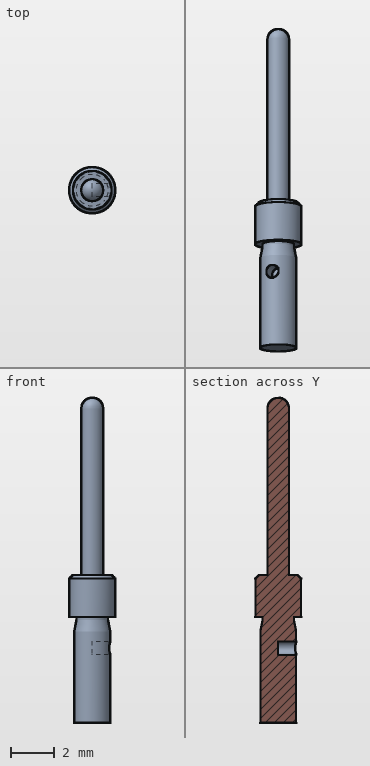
import cadquery as cq
import math

total_length = 14.8
pin_radius = 0.5
collar_radius = 1.058
neck_radius = 0.73
barrel_radius = 0.83

barrel_top = 4.15
neck_bottom = 4.68
collar_bottom = 4.81
collar_top = 6.73
collar_chamfer = 0.18

hole_diameter = 0.59
hole_height = 3.4


def turned_body():
    """Revolve the half profile: barrel, tapered neck, collar and round-nosed pin."""
    nose_start = total_length - pin_radius
    nose_mid_offset = pin_radius * math.sqrt(0.5)
    profile = (
        cq.Workplane("XZ")
        .lineTo(barrel_radius, 0)
        .lineTo(barrel_radius, barrel_top)
        .lineTo(neck_radius, neck_bottom)
        .lineTo(neck_radius, collar_bottom)
        .lineTo(collar_radius, collar_bottom)
        .lineTo(collar_radius, collar_top - collar_chamfer)
        .lineTo(collar_radius - collar_chamfer, collar_top)
        .lineTo(pin_radius, collar_top)
        .lineTo(pin_radius, nose_start)
        .threePointArc((nose_mid_offset, nose_start + nose_mid_offset), (0, total_length))
        .close()
    )
    return profile.revolve(360, (0, 0, 0), (0, 1, 0))


def inspection_hole():
    """Cylinder running from the axis out past the barrel wall along +X."""
    return (
        cq.Workplane("YZ")
        .center(0, hole_height)
        .circle(hole_diameter / 2)
        .extrude(collar_radius)
    )


result = turned_body().cut(inspection_hole())